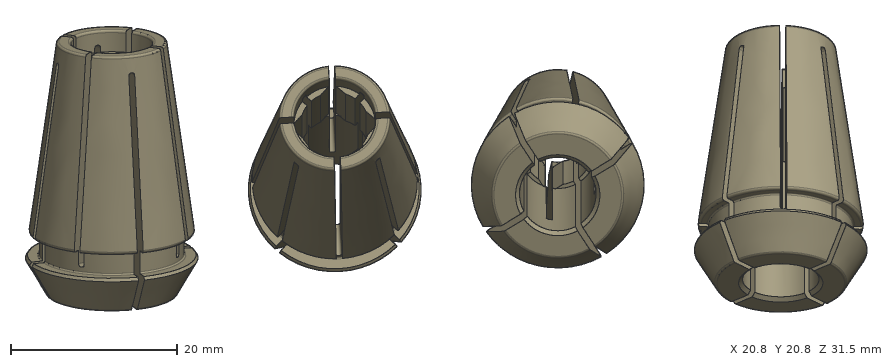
import cadquery as cq
import math

height = 31.5
rim_edge_z = 4.4
rim_top_z = 4.8
taper_bottom_z = 7.62

rim_radius = 10.4
nose_angle = 30.0
rim_bevel_inset = 0.25
groove_radius = 8.73
taper_large_radius = 10.0
taper_angle = 8.0

edge_fillet = 0.3
groove_fillet = 0.2

clearance_radius = 4.9
clearance_depth = 2.7
square_size = 7.55
square_relief_radius = 4.13
square_depth = 10.08
shank_radius = 4.6
mouth_fillet = 0.3
nose_bore_chamfer = 0.47

slot_width = 0.75
blade_radius = 50.4
lower_slot_top_z = 29.92
upper_slot_bottom_z = 4.8


def cone(bottom_radius, top_radius, bottom_z, top_z):
    """Solid cone frustum about the Z axis."""
    frustum = cq.Solid.makeCone(bottom_radius, top_radius, top_z - bottom_z, cq.Vector(0, 0, bottom_z))
    return cq.Workplane(frustum)


def cylinder(radius, bottom_z, top_z):
    """Solid cylinder about the Z axis."""
    return cq.Workplane("XY", origin=(0, 0, bottom_z)).circle(radius).extrude(top_z - bottom_z)


def nose():
    """Clamping cone at the bottom, widening to the rim and then narrowing in a short bevel."""
    nose_radius = rim_radius - rim_edge_z * math.tan(math.radians(nose_angle))
    clamping_cone = cone(nose_radius, rim_radius, 0, rim_edge_z)
    rim_bevel = cone(rim_radius, rim_radius - rim_bevel_inset, rim_edge_z, rim_top_z)
    return clamping_cone.faces("<Z").edges().fillet(edge_fillet).union(rim_bevel)


def taper():
    """Long taper with both end edges rounded."""
    slope = math.tan(math.radians(taper_angle))
    small_radius = taper_large_radius - (height - taper_bottom_z) * slope
    sharp_taper = cone(taper_large_radius, small_radius, taper_bottom_z, height)
    return sharp_taper.faces("|Z").edges().fillet(edge_fillet)


def collet_blank():
    """Nose and taper joined by the groove, with the groove corners rounded."""
    blank = nose().union(cylinder(groove_radius, rim_top_z, taper_bottom_z)).union(taper())
    groove_corners = blank.edges("%CIRCLE").filter(lambda edge: math.isclose(edge.radius(), groove_radius))
    return groove_corners.fillet(groove_fillet)


def bore():
    """Stepped through bore with a rounded top mouth and a chamfered bottom mouth."""
    shelf_z = height - clearance_depth
    square_bottom_z = shelf_z - square_depth
    clearance = cylinder(clearance_radius, shelf_z, height)
    square = (
        cq.Workplane("XY", origin=(0, 0, square_bottom_z))
        .rect(square_size, square_size)
        .extrude(square_depth)
        .intersect(cylinder(clearance_radius, square_bottom_z, shelf_z))
    )
    relief = cylinder(square_relief_radius, square_bottom_z, shelf_z)
    shank = cylinder(shank_radius, 0, square_bottom_z)
    bottom_mouth = cone(shank_radius + nose_bore_chamfer, shank_radius, 0, nose_bore_chamfer)
    return clearance.union(square).union(relief).union(shank).union(bottom_mouth)


def saw_blade(edge_z, direction, angle):
    """Upright round-rimmed disc with edge_z as its highest (direction 1) or lowest (direction -1) level."""
    half_width = slot_width / 2
    centre_z = edge_z - direction * blade_radius
    flat_reach = -direction * (blade_radius - half_width)
    return (
        cq.Workplane("YZ", origin=(0, 0, centre_z))
        .moveTo(-half_width, 0)
        .lineTo(-half_width, flat_reach)
        .threePointArc((0, -direction * blade_radius), (half_width, flat_reach))
        .lineTo(half_width, 0)
        .close()
        .revolve(360, (0, 0), (1, 0))
        .rotate((0, 0, 0), (0, 0, 1), angle)
    )


result = collet_blank().cut(bore())
result = result.faces(">Z").edges("%CIRCLE").edges(cq.selectors.RadiusNthSelector(0)).fillet(mouth_fillet)

for quarter_turn in (0, 90):
    result = result.cut(saw_blade(lower_slot_top_z, 1, quarter_turn))
    result = result.cut(saw_blade(upper_slot_bottom_z, -1, quarter_turn + 45))